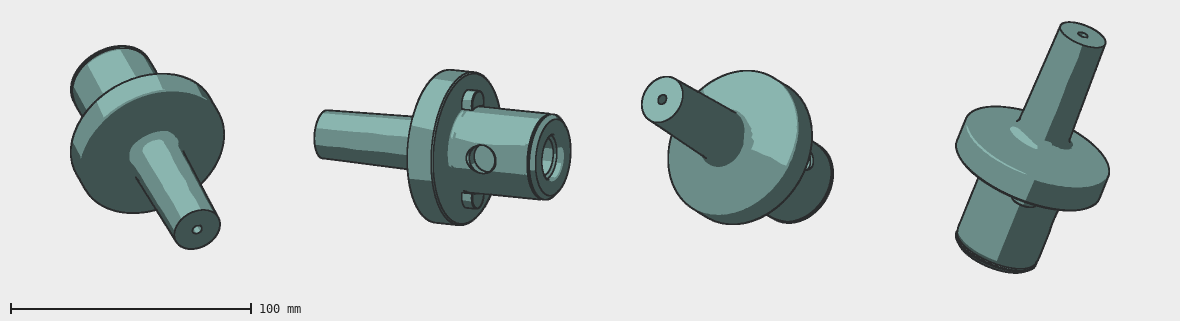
import cadquery as cq
import math

TOTAL_LENGTH = 106.5
EDGE_TOLERANCE = 0.1

SHANK_DIA = 36.0
LEAD_DIA = 35.8
GROOVE_DIA = 35.3
NOSE_CHAMFER = 1.9
LEAD_END = 2.3
GROOVE_START = 3.1
GROOVE_END = 3.4
SHANK_START = 4.7

UNDERCUT_ANGLE = 15.0
UNDERCUT_FLOOR_START = 38.9
UNDERCUT_FLOOR_END = 39.5
UNDERCUT_RADIUS = 0.6
UNDERCUT_FACE_DIA = 39.6

FLANGE_DIA = 64.0
FLANGE_FACE = 39.9
FLANGE_CHAMFER = 0.6
FLANGE_RIM_END = 51.1
RIM_FILLET = 1.1
CONE_ANGLE = 15.0
CONE_TO_TAPER_FILLET = 4.0

TAPER_TIP_DIA = 20.2
TAPER_RATIO = 0.05

BORE_MOUTH_DIA = 19.0
BORE_MOUTH_FILLET = 1.1
BORE_MOUTH_DEPTH = 3.2
BORE_DIA = 16.0
BORE_DEPTH = 37.3
BORE_CONE_ANGLE = 59.0
THROUGH_DIA = 4.2

CLAMP_X = 24.4
CLAMP_DIA = 12.0
CLAMP_MOUTH_DIA = 13.8
CLAMP_DEPTH = 5.3

KEY_DIA = 11.0
KEY_OFFSET = 19.5
KEY_HEIGHT = 4.9
KEY_CHAMFER = 0.3
KEY_CLEARANCE = 0.4


def revolved(profile):
    """Turn a closed outline drawn in (X, radius) about the X axis."""
    return profile.close().revolve(360, (0, 0, 0), (1, 0, 0))


def ring_edge_at(x):
    """Selector for the circular edges of the turned piece that lie in the plane at x."""
    reach = FLANGE_DIA
    return cq.selectors.BoxSelector(
        (x - EDGE_TOLERANCE, -reach, -reach), (x + EDGE_TOLERANCE, reach, reach), boundingbox=True
    )


def make_blank():
    """Shank, flange and taper as one turned piece, still without bore and clamping hole."""
    shank_r = SHANK_DIA / 2
    lead_r = LEAD_DIA / 2
    groove_r = GROOVE_DIA / 2
    flange_r = FLANGE_DIA / 2
    tip_r = TAPER_TIP_DIA / 2

    run_in = math.radians(UNDERCUT_ANGLE)
    blend_start = (
        UNDERCUT_FLOOR_START - UNDERCUT_RADIUS * math.sin(run_in),
        groove_r + UNDERCUT_RADIUS * (1 - math.cos(run_in)),
    )
    blend_mid = (
        UNDERCUT_FLOOR_START - UNDERCUT_RADIUS * math.sin(run_in / 2),
        groove_r + UNDERCUT_RADIUS * (1 - math.cos(run_in / 2)),
    )
    shank_end = blend_start[0] - (shank_r - blend_start[1]) / math.tan(run_in)

    arc_center_r = groove_r + UNDERCUT_RADIUS
    arc_mid = (
        UNDERCUT_FLOOR_END + UNDERCUT_RADIUS * math.sin(math.radians(45)),
        arc_center_r - UNDERCUT_RADIUS * math.cos(math.radians(45)),
    )
    arc_end = (UNDERCUT_FLOOR_END + UNDERCUT_RADIUS, arc_center_r)

    cone_slope = math.tan(math.radians(CONE_ANGLE))
    cone_start = FLANGE_RIM_END + RIM_FILLET * math.tan(math.radians((90 - CONE_ANGLE) / 2))
    taper_slope = TAPER_RATIO / 2
    drop = flange_r - tip_r - taper_slope * (TOTAL_LENGTH - cone_start)
    cone_length = drop * cone_slope / (1 - taper_slope * cone_slope)
    corner_x = cone_start + cone_length
    corner_r = tip_r + taper_slope * (TOTAL_LENGTH - corner_x)

    profile = (
        cq.Workplane("XY")
        .moveTo(0, 0)
        .lineTo(0, lead_r - NOSE_CHAMFER)
        .lineTo(NOSE_CHAMFER, lead_r)
        .lineTo(LEAD_END, lead_r)
        .lineTo(GROOVE_START, groove_r)
        .lineTo(GROOVE_END, groove_r)
        .lineTo(SHANK_START, shank_r)
        .lineTo(shank_end, shank_r)
        .lineTo(*blend_start)
        .threePointArc(blend_mid, (UNDERCUT_FLOOR_START, groove_r))
        .lineTo(UNDERCUT_FLOOR_END, groove_r)
        .threePointArc(arc_mid, arc_end)
        .lineTo(FLANGE_FACE, UNDERCUT_FACE_DIA / 2)
        .lineTo(FLANGE_FACE, flange_r - FLANGE_CHAMFER)
        .lineTo(FLANGE_FACE + FLANGE_CHAMFER, flange_r)
        .lineTo(cone_start, flange_r)
        .lineTo(corner_x, corner_r)
        .lineTo(TOTAL_LENGTH, tip_r)
        .lineTo(TOTAL_LENGTH, 0)
    )
    blank = revolved(profile)
    blank = blank.edges(ring_edge_at(cone_start)).fillet(RIM_FILLET)
    return blank.edges(ring_edge_at(corner_x)).fillet(CONE_TO_TAPER_FILLET)


def make_bore():
    """Stepped bore from the shank end, narrowing to a through hole."""
    mouth_r = BORE_MOUTH_DIA / 2
    bore_r = BORE_DIA / 2
    hole_r = THROUGH_DIA / 2
    cone_slope = math.tan(math.radians(BORE_CONE_ANGLE))
    step_end = BORE_MOUTH_DEPTH + (mouth_r - bore_r) / cone_slope
    tip_end = BORE_DEPTH + (bore_r - hole_r) / cone_slope
    rounding = BORE_MOUTH_FILLET * (1 - math.cos(math.radians(45)))
    profile = (
        cq.Workplane("XY")
        .moveTo(0, 0)
        .lineTo(0, mouth_r + BORE_MOUTH_FILLET)
        .threePointArc((rounding, mouth_r + rounding), (BORE_MOUTH_FILLET, mouth_r))
        .lineTo(BORE_MOUTH_DEPTH, mouth_r)
        .lineTo(step_end, bore_r)
        .lineTo(BORE_DEPTH, bore_r)
        .lineTo(tip_end, hole_r)
        .lineTo(TOTAL_LENGTH, hole_r)
        .lineTo(TOTAL_LENGTH, 0)
    )
    return revolved(profile)


def make_clamp_hole():
    """Blind radial hole with a 45 degree countersink, entering the shank from +Y."""
    hole_r = CLAMP_DIA / 2
    mouth_r = CLAMP_MOUTH_DIA / 2
    surface_y = SHANK_DIA / 2
    countersink_y = surface_y - (mouth_r - hole_r)
    return (
        cq.Workplane("XY")
        .moveTo(CLAMP_X, surface_y - CLAMP_DEPTH)
        .lineTo(CLAMP_X + hole_r, surface_y - CLAMP_DEPTH)
        .lineTo(CLAMP_X + hole_r, countersink_y)
        .lineTo(CLAMP_X + mouth_r, surface_y)
        .lineTo(CLAMP_X, surface_y)
        .close()
        .revolve(360, (CLAMP_X, 0, 0), (CLAMP_X, 1, 0))
    )


def make_key(side):
    """Round driving key on the flange face, hollowed to clear the shank. side is +1 or -1 in Z."""
    key = (
        cq.Workplane("YZ", origin=(FLANGE_FACE, 0, side * KEY_OFFSET))
        .circle(KEY_DIA / 2)
        .extrude(-KEY_HEIGHT)
        .faces("<X")
        .chamfer(KEY_CHAMFER)
    )
    shank_clearance = cq.Workplane("YZ").circle(SHANK_DIA / 2 + KEY_CLEARANCE).extrude(FLANGE_FACE)
    return key.cut(shank_clearance)


arbor = make_blank().cut(make_bore()).cut(make_clamp_hole())
keys = [make_key(side) for side in (1, -1)]

result = cq.Compound.makeCompound([arbor.val(), *[key.val() for key in keys]])